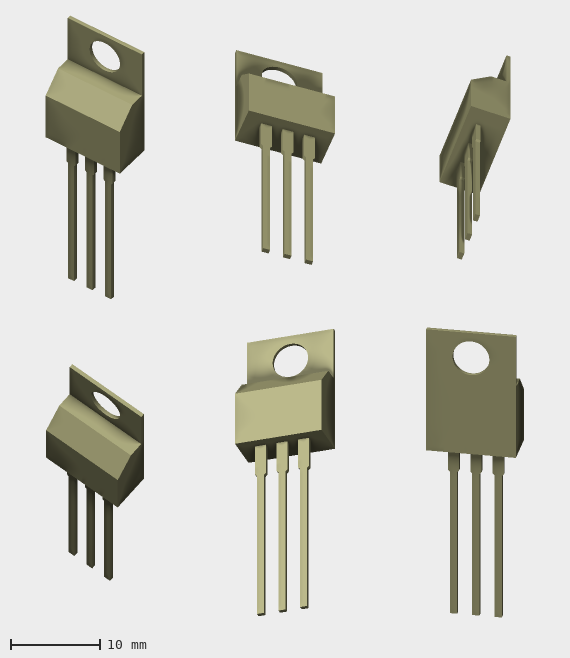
import cadquery as cq

TOTAL_HEIGHT = 36.38
WIDTH = 10.22
DEPTH = 4.7

TAB_HEIGHT = 6.3
TAB_THICKNESS = 0.47
HOLE_DIAMETER = 4.2
HOLE_DROP = 3.13

HOUSING_BOTTOM = -15.02
HOUSING_TOP = -TAB_HEIGHT
BEVEL = 2.35

LEAD_COUNT = 3
LEAD_PITCH = 2.55
LEAD_THICKNESS = 0.55
LEAD_BACK = -2.85
LEAD_WIDE = 1.27
LEAD_NARROW = 0.85
SHOULDER_TOP = -18.6
SHOULDER_HEIGHT = (LEAD_WIDE - LEAD_NARROW) / 2


def make_tab():
    """Flat plate standing on the back of the housing, with a mounting hole."""
    tab = cq.Workplane("XY").box(
        WIDTH, TAB_THICKNESS, TAB_HEIGHT, centered=(True, False, False)
    ).translate((0, -TAB_THICKNESS, HOUSING_TOP))
    hole = (
        cq.Workplane("XZ")
        .center(0, -HOLE_DROP)
        .circle(HOLE_DIAMETER / 2)
        .extrude(TAB_THICKNESS)
    )
    return tab.cut(hole)


def make_housing():
    """Side profile with a bevelled top front edge, extruded across the width."""
    return (
        cq.Workplane("YZ")
        .moveTo(0, HOUSING_BOTTOM)
        .lineTo(0, HOUSING_TOP)
        .lineTo(-DEPTH + BEVEL, HOUSING_TOP)
        .lineTo(-DEPTH, HOUSING_TOP - BEVEL)
        .lineTo(-DEPTH, HOUSING_BOTTOM)
        .close()
        .extrude(WIDTH / 2, both=True)
    )


def make_lead(x):
    """Stepped flat lead hanging from the housing's underside, centred at x."""
    shoulder_bottom = SHOULDER_TOP - SHOULDER_HEIGHT
    return (
        cq.Workplane("XZ", origin=(x, LEAD_BACK, 0))
        .moveTo(-LEAD_WIDE / 2, HOUSING_BOTTOM)
        .lineTo(LEAD_WIDE / 2, HOUSING_BOTTOM)
        .lineTo(LEAD_WIDE / 2, SHOULDER_TOP)
        .lineTo(LEAD_NARROW / 2, shoulder_bottom)
        .lineTo(LEAD_NARROW / 2, -TOTAL_HEIGHT)
        .lineTo(-LEAD_NARROW / 2, -TOTAL_HEIGHT)
        .lineTo(-LEAD_NARROW / 2, shoulder_bottom)
        .lineTo(-LEAD_WIDE / 2, SHOULDER_TOP)
        .close()
        .extrude(LEAD_THICKNESS)
    )


tab = make_tab()
housing = make_housing()
leads = []
for index in range(LEAD_COUNT):
    lead_x = (index - (LEAD_COUNT - 1) / 2) * LEAD_PITCH
    leads.append(make_lead(lead_x).val())

result = cq.Compound.makeCompound([tab.val(), housing.val(), *leads])